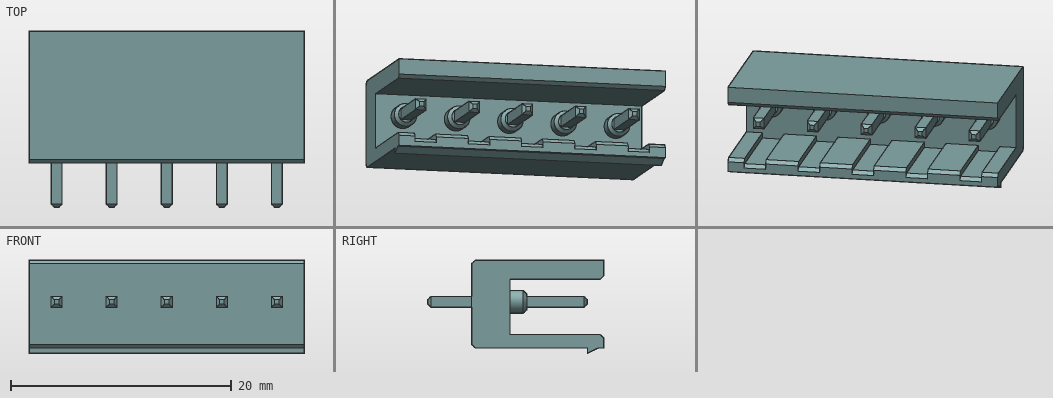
import cadquery as cq

HOUSING_LENGTH = 25.0
HOUSING_DEPTH = 12.0
HOUSING_HEIGHT = 8.0
BACK_WALL = 3.5
UPPER_ARM = 1.75
LOWER_ARM = 1.25
CHAMFER = 0.32

HOOK_START = 0.5
HOOK_RUN = 1.0
HOOK_DROP = 0.48

PIN_COUNT = 5
PIN_PITCH = 5.0
PIN_SIDE = 1.0
PIN_HEIGHT = 4.2
PIN_TAIL = 4.0
PIN_REACH = 10.5
PIN_CHAMFER = 0.3
COLLAR_DIAMETER = 2.1
COLLAR_LENGTH = 1.5
COLLAR_CHAMFER = 0.32

GROOVE_WIDTH = 2.0
GROOVE_DEPTH = 0.5

PIN_POSITIONS = [(index - (PIN_COUNT - 1) / 2) * PIN_PITCH for index in range(PIN_COUNT)]


def make_housing():
    """U-shaped body with bevelled outer back edges and bevelled arm mouths."""
    cavity_top = HOUSING_HEIGHT - UPPER_ARM
    profile = [
        (CHAMFER, 0),
        (HOUSING_DEPTH, 0),
        (HOUSING_DEPTH, LOWER_ARM - CHAMFER),
        (HOUSING_DEPTH - CHAMFER, LOWER_ARM),
        (BACK_WALL, LOWER_ARM),
        (BACK_WALL, cavity_top),
        (HOUSING_DEPTH - CHAMFER, cavity_top),
        (HOUSING_DEPTH, cavity_top + CHAMFER),
        (HOUSING_DEPTH, HOUSING_HEIGHT),
        (CHAMFER, HOUSING_HEIGHT),
        (0, HOUSING_HEIGHT - CHAMFER),
        (0, CHAMFER),
    ]
    return cq.Workplane("YZ").polyline(profile).close().extrude(HOUSING_LENGTH / 2, both=True)


def make_hook():
    """Triangular latch running the full length of the lower arm."""
    ramp_start = HOUSING_DEPTH - HOOK_START
    catch = ramp_start - HOOK_RUN
    profile = [(ramp_start, 0), (catch, 0), (catch, -HOOK_DROP)]
    return cq.Workplane("YZ").polyline(profile).close().extrude(HOUSING_LENGTH / 2, both=True)


def make_groove(x):
    """Cutter for a groove from the back wall to the open end, its floor bevelled like the arm."""
    floor = LOWER_ARM - GROOVE_DEPTH
    profile = [
        (BACK_WALL, floor),
        (HOUSING_DEPTH - CHAMFER, floor),
        (HOUSING_DEPTH, floor - CHAMFER),
        (HOUSING_DEPTH, LOWER_ARM),
        (BACK_WALL, LOWER_ARM),
    ]
    groove = cq.Workplane("YZ").polyline(profile).close().extrude(GROOVE_WIDTH / 2, both=True)
    return groove.translate((x, 0, 0))


def make_pin(x):
    """Square pin with tapered tips, passing through the back wall."""
    return (
        cq.Workplane("XZ", origin=(x, -PIN_TAIL, PIN_HEIGHT))
        .rect(PIN_SIDE, PIN_SIDE)
        .extrude(-(PIN_TAIL + PIN_REACH))
        .faces("<Y or >Y")
        .chamfer(PIN_CHAMFER)
    )


def make_collar(x):
    """Round collar around a pin on the inner face of the back wall."""
    return (
        cq.Workplane("XZ", origin=(x, BACK_WALL, PIN_HEIGHT))
        .circle(COLLAR_DIAMETER / 2)
        .extrude(-COLLAR_LENGTH)
        .faces(">Y")
        .chamfer(COLLAR_CHAMFER)
    )


result = make_housing().union(make_hook())
for pin_x in PIN_POSITIONS:
    result = result.cut(make_groove(pin_x))
    result = result.union(make_collar(pin_x)).union(make_pin(pin_x))